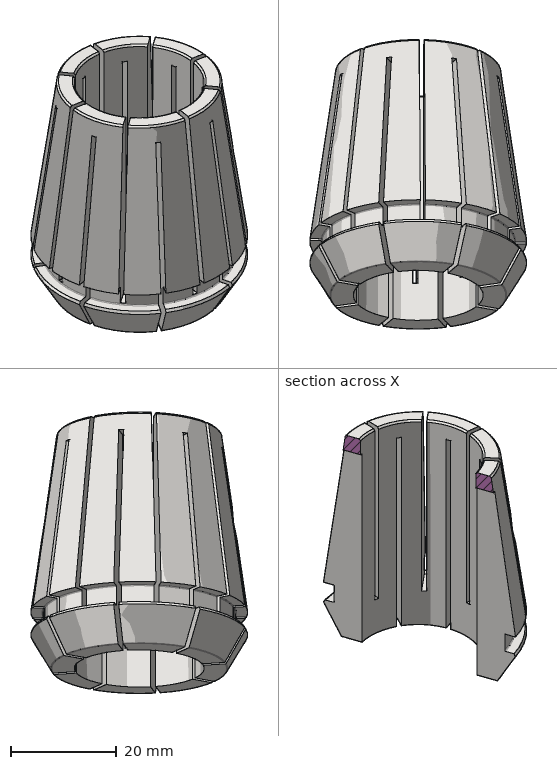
import cadquery as cq
import math

height = 46.0
outer_diameter = 41.0
outer_radius = outer_diameter / 2
bore_diameter = 24.5
bore_radius = bore_diameter / 2

head_bottom_radius = 16.65
head_bottom_fillet = 0.2
head_widest_z = 6.62
head_top_z = 7.18
head_rim_bevel = 0.3

neck_radius = 18.2
neck_corner_fillet = 0.16
body_bottom_z = 11.05

taper_slope = math.tan(math.radians(8.0))
top_chamfer = 0.35
top_radius = outer_radius - (height - body_bottom_z) * taper_slope
chamfer_base_radius = top_radius + top_chamfer * taper_slope

slot_pairs = 4
slot_pitch = 180.0 / slot_pairs
slot_width = 0.95
slot_length = 2.5 * outer_radius
lower_slot_top_z = 42.4
upper_slot_floor_z = 7.6

edge_tolerance = 0.005


def fillet_circle(body, radius, z, fillet_radius):
    """Round the circular edge of the given radius at height z."""

    def is_wanted(edge):
        same_radius = abs(edge.radius() - radius) < edge_tolerance
        same_height = abs(edge.Center().z - z) < edge_tolerance
        return same_radius and same_height

    return body.edges("%CIRCLE").filter(is_wanted).fillet(fillet_radius)


def collet_blank():
    """Revolve the half section about Z and round the neck and head edges."""
    section = [
        (bore_radius, 0),
        (head_bottom_radius, 0),
        (outer_radius, head_widest_z),
        (outer_radius - head_rim_bevel, head_top_z),
        (neck_radius, head_top_z),
        (neck_radius, body_bottom_z),
        (outer_radius, body_bottom_z),
        (chamfer_base_radius, height - top_chamfer),
        (chamfer_base_radius - top_chamfer, height),
        (bore_radius + top_chamfer, height),
        (bore_radius, height - top_chamfer),
    ]
    blank = cq.Workplane("XZ").polyline(section).close().revolve(360, (0, 0), (0, 1))
    for neck_end_z in (head_top_z, body_bottom_z):
        blank = fillet_circle(blank, neck_radius, neck_end_z, neck_corner_fillet)
    return fillet_circle(blank, head_bottom_radius, 0, head_bottom_fillet)


def diametral_slot(bottom_z, top_z, angle):
    """Thin plate across the full diameter, cutting two opposite slots."""
    base = cq.Workplane("XY").workplane(offset=bottom_z)
    plate = base.rect(slot_length, slot_width).extrude(top_z - bottom_z)
    return plate.rotate((0, 0, 0), (0, 0, 1), angle)


result = collet_blank()
for index in range(slot_pairs):
    lower_angle = index * slot_pitch
    upper_angle = lower_angle + slot_pitch / 2
    result = result.cut(diametral_slot(0, lower_slot_top_z, lower_angle))
    result = result.cut(diametral_slot(upper_slot_floor_z, height, upper_angle))